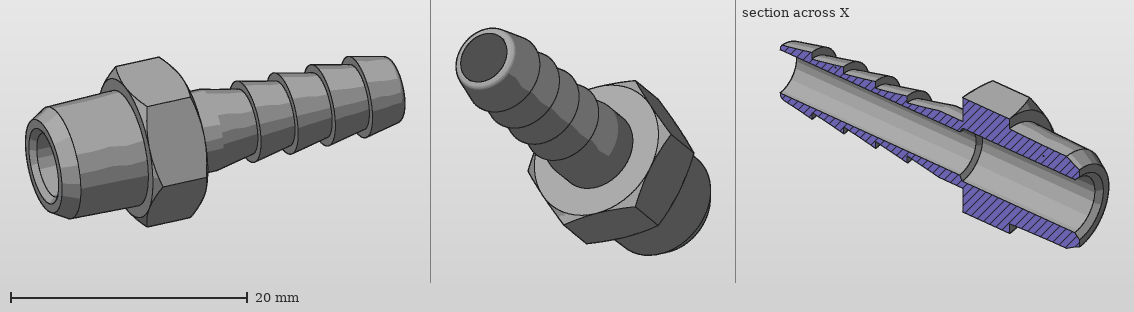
import cadquery as cq
import math

total_length = 32.0
hex_start = 7.5
hex_end = 12.5
barb_start = 15.0
front_y = -total_length / 2

across_flats = 12.0
across_corners = across_flats / math.cos(math.radians(30))
chamfer_slope = math.tan(math.radians(30))

thread_radius = 5.0
thread_tip_radius = 4.83
thread_end_radius = 4.03
thread_chamfer_length = (thread_tip_radius - thread_end_radius) / chamfer_slope

barb_count = 5
barb_radius = 3.52
barb_root_radius = 2.8
barb_pitch = (total_length - barb_start) / barb_count
tip_fillet = 0.5

bore_radius = 2.25
counterbore_radius = 2.75
counterbore_depth = hex_end
counterbore_cone_length = (counterbore_radius - bore_radius) * math.tan(math.radians(30))
mouth_radius = 3.25
mouth_chamfer_length = 0.5


def revolve_profile(points):
    """Revolve a (radius, distance from the front end) profile about the Y axis."""
    profile = cq.Workplane("XY").polyline(points).close()
    solid = profile.revolve(360, (0, 0, 0), (0, 1, 0))
    return solid.translate((0, front_y, 0))


def make_thread_body():
    return revolve_profile([
        (0, 0),
        (thread_end_radius, 0),
        (thread_tip_radius, thread_chamfer_length),
        (thread_radius, hex_start),
        (0, hex_start),
    ])


def make_hexagon():
    prism = (
        cq.Workplane("XZ", origin=(0, front_y + hex_start, 0))
        .polygon(6, across_corners)
        .extrude(hex_start - hex_end)
    )
    face_radius = across_flats / 2
    outer_radius = across_corners / 2
    chamfer_length = (outer_radius - face_radius) * chamfer_slope
    chamfer_envelope = revolve_profile([
        (0, hex_start),
        (face_radius, hex_start),
        (outer_radius, hex_start + chamfer_length),
        (outer_radius, hex_end - chamfer_length),
        (face_radius, hex_end),
        (0, hex_end),
    ])
    return prism.intersect(chamfer_envelope)


def make_hose_tail():
    points = [(0, hex_end), (barb_radius, hex_end)]
    for index in range(barb_count):
        barb_base = barb_start + index * barb_pitch
        points.append((barb_radius, barb_base))
        points.append((barb_root_radius, barb_base + barb_pitch))
    points.append((0, total_length))
    return revolve_profile(points).faces(">Y").edges().fillet(tip_fillet)


def make_bore():
    return revolve_profile([
        (0, 0),
        (mouth_radius, 0),
        (counterbore_radius, mouth_chamfer_length),
        (counterbore_radius, counterbore_depth),
        (bore_radius, counterbore_depth + counterbore_cone_length),
        (bore_radius, total_length),
        (0, total_length),
    ])


result = make_thread_body().union(make_hexagon()).union(make_hose_tail()).cut(make_bore())